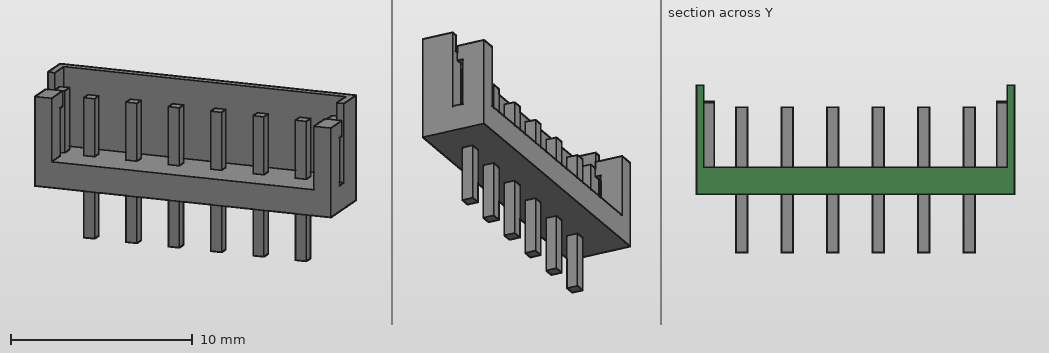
import cadquery as cq

length = 17.5
depth = 3.8
wall_height = 6.0
floor_height = 1.49
back_wall = 0.5
side_wall = 0.42
side_wall_depth = 1.85

post_width = 1.0
post_depth = 1.31
post_height = 5.11
lip_depth = 1.65
lip_height = 0.9

rib_depth = 0.75
rib_height = 5.02

pin_count = 6
pin_pitch = 2.5
pin_size = 0.65
pin_back_offset = 1.33
pin_top = 4.8
pin_tail = 3.2

slot_back = depth - side_wall_depth
pin_y = depth - pin_back_offset - pin_size


def block(x, y, z, dx, dy, dz):
    """Box with its minimum corner at (x, y, z)."""
    return cq.Workplane("XY").box(dx, dy, dz, centered=False).translate((x, y, z))


def make_left_end():
    """Side wall, rib and lipped corner post at the -X end."""
    left = -length / 2
    wall = block(left, slot_back, 0, side_wall, side_wall_depth, wall_height)
    rib = block(left, slot_back, 0, post_width, rib_depth, rib_height)
    post = block(left, 0, 0, post_width, post_depth, post_height)
    lip = block(left, 0, post_height - lip_height, post_width, lip_depth, lip_height)
    return wall.union(rib).union(post).union(lip)


def make_housing():
    """Floor and back wall closed by two mirrored ends."""
    floor = block(-length / 2, 0, 0, length, depth, floor_height)
    back = block(-length / 2, depth - back_wall, 0, length, back_wall, wall_height)
    left_end = make_left_end()
    return floor.union(back).union(left_end).union(left_end.mirror("YZ"))


result = make_housing()
for index in range(pin_count):
    pin_center = (index - (pin_count - 1) / 2) * pin_pitch
    pin_x = pin_center - pin_size / 2
    pin = block(pin_x, pin_y, -pin_tail, pin_size, pin_size, pin_tail + pin_top)
    result = result.union(pin)